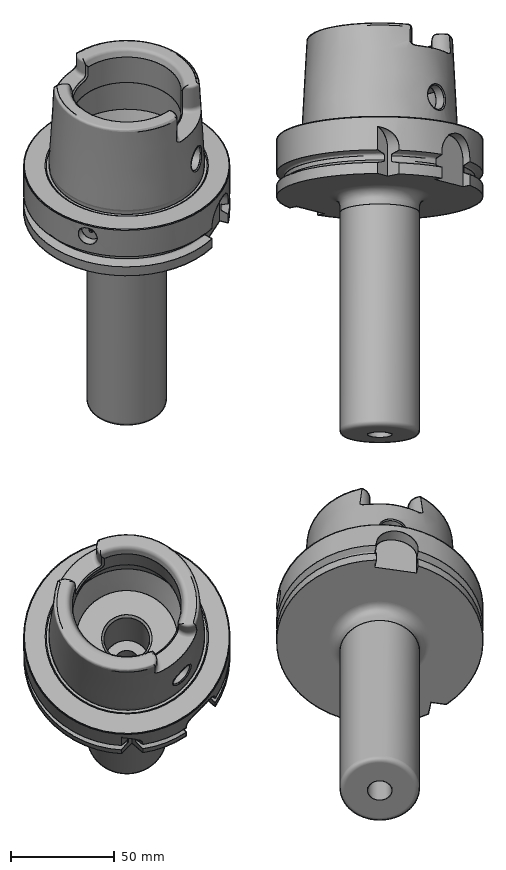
import cadquery as cq
import math

total_length = 196.9
taper_height = 50.0
shank_bottom_z = taper_height - total_length

taper_base_radius = 37.8
taper_top_radius = 35.2
relief_height = 2.4
relief_depth = 0.2
face_groove_radius = 39.5
face_groove_slope = 0.5
face_groove_depth = 0.4
flange_radius = 50.0
flange_bottom_z = -28.5
flange_edge_chamfer = 0.4
rim_fillet = 1.48

groove_radius = 46.3
groove_top_z = -16.7
groove_bottom_z = -23.0
groove_wall_rise = 1.4
groove_fillet = 1.0

shank_radius = 19.3
neck_fillet = 5.1
joint_z = -36.6
shank_end_fillet = 2.4
coolant_radius = 6.0

mouth_radius = 26.4
lead_width = 0.89
lead_radius = mouth_radius + lead_width
mouth_round = 2.8
mouth_round_angle = 75.0
lead_end_depth = 4.0
undercut_radius = 31.5
mouth_end_depth = 19.7
undercut_wall_angle = 60.0
cavity_end_depth = 40.4
bore_floor_radius = 24.6
bore_cone_angle = 30.0
tube_hole_radius = 11.0
tube_hole_chamfer = 1.2

slot_half_width = 9.5
slot_depth_left = 10.5
slot_depth_right = 15.5
finger_end_x = 32.5
finger_round = 6.7
slot_floor_fillet = 2.4
slot_inner_chamfer = 0.8

cross_hole_diameter = 12.0
cross_hole_radius = cross_hole_diameter / 2
cross_hole_depth = 34.7
cross_hole_chamfer = 0.5

keyway_radius = 10.2
keyway_center_z = -15.0
keyway_floor_x = 44.5
notch_floor_x = 32.0
notch_center_y = 41.2

chip_hole_radius = 5.0
chip_hole_z = -6.9
chip_hole_depth = 4.5
chip_pilot_radius = 1.0
chip_pilot_depth = 1.0

clearance = 9.8
tolerance = 0.04


def slope_height(radius_change, angle_from_axis):
    """Axial length of a cone that changes radius by the given amount."""
    return radius_change / math.tan(math.radians(angle_from_axis))


def make_head_blank():
    """Revolved outer shape of the head, still without its bore."""
    relief_radius = taper_base_radius - relief_depth
    profile = (
        cq.Workplane("XZ")
        .moveTo(0, taper_height)
        .lineTo(taper_top_radius, taper_height)
        .lineTo(taper_base_radius, relief_height)
        .lineTo(relief_radius, relief_height / 2)
        .lineTo(relief_radius, -face_groove_depth)
        .lineTo(face_groove_radius - face_groove_slope, -face_groove_depth)
        .lineTo(face_groove_radius, 0)
        .lineTo(flange_radius - flange_edge_chamfer, 0)
        .lineTo(flange_radius, -flange_edge_chamfer)
        .lineTo(flange_radius, groove_top_z)
        .lineTo(groove_radius, groove_top_z - groove_wall_rise)
        .lineTo(groove_radius, groove_bottom_z + groove_wall_rise)
        .lineTo(flange_radius, groove_bottom_z)
        .lineTo(flange_radius, flange_bottom_z)
        .lineTo(shank_radius + neck_fillet, flange_bottom_z)
        .radiusArc((shank_radius, flange_bottom_z - neck_fillet), -neck_fillet)
        .lineTo(shank_radius, joint_z)
        .lineTo(0, joint_z)
        .close()
    )
    blank = profile.revolve(360, (0, 0, 0), (0, 1, 0))
    groove_floor = cq.selectors.BoxSelector(
        (-flange_radius, -flange_radius, groove_bottom_z + groove_wall_rise / 2),
        (flange_radius, flange_radius, groove_top_z - groove_wall_rise / 2),
    )
    return blank.edges(groove_floor).fillet(groove_fillet)


def clamping_bore():
    """Revolved cutter for the rounded mouth, the undercut cavity and the tube hole."""
    top = taper_height
    undercut_z = top - mouth_end_depth - slope_height(undercut_radius - mouth_radius, undercut_wall_angle)
    cavity_end_z = top - cavity_end_depth
    floor_z = cavity_end_z - slope_height(undercut_radius - bore_floor_radius, bore_cone_angle)
    end_angle = math.radians(mouth_round_angle)
    round_center_r = lead_radius + mouth_round * math.sin(end_angle)

    def round_point(angle):
        """Point on the mouth rounding, turned by an angle from the flat rim."""
        return (
            round_center_r - mouth_round * math.sin(angle),
            top - mouth_round * (1 - math.cos(angle)),
        )

    profile = (
        cq.Workplane("XZ")
        .moveTo(0, joint_z)
        .lineTo(tube_hole_radius, joint_z)
        .lineTo(tube_hole_radius, floor_z - tube_hole_chamfer)
        .lineTo(tube_hole_radius + tube_hole_chamfer, floor_z)
        .lineTo(bore_floor_radius, floor_z)
        .lineTo(undercut_radius, cavity_end_z)
        .lineTo(undercut_radius, undercut_z)
        .lineTo(mouth_radius, top - mouth_end_depth)
        .lineTo(mouth_radius, top - lead_end_depth)
        .lineTo(*round_point(end_angle))
        .threePointArc(round_point(end_angle / 2), round_point(0))
        .lineTo(0, top)
        .close()
    )
    return profile.revolve(360, (0, 0, 0), (0, 1, 0))


def drive_slot(depth, side):
    """Cutter for one rim slot on the +X (side = 1) or -X (side = -1) side."""
    arc_center_x = finger_end_x - finger_round
    arc_center_y = slot_half_width + finger_round
    diagonal = finger_round * math.sqrt(0.5)
    outer_x = taper_base_radius + clearance
    floor_z = taper_height - depth
    cutter = (
        cq.Workplane("XY", origin=(0, 0, floor_z))
        .moveTo(0, -slot_half_width)
        .lineTo(arc_center_x, -slot_half_width)
        .threePointArc(
            (arc_center_x + diagonal, -arc_center_y + diagonal),
            (finger_end_x, -arc_center_y),
        )
        .lineTo(finger_end_x, -arc_center_y - clearance)
        .lineTo(outer_x, -arc_center_y - clearance)
        .lineTo(outer_x, arc_center_y + clearance)
        .lineTo(finger_end_x, arc_center_y + clearance)
        .lineTo(finger_end_x, arc_center_y)
        .threePointArc(
            (arc_center_x + diagonal, arc_center_y - diagonal),
            (arc_center_x, slot_half_width),
        )
        .lineTo(0, slot_half_width)
        .close()
        .extrude(depth + clearance)
    )
    wall_foot = cq.selectors.BoxSelector(
        (tolerance, -outer_x, floor_z - tolerance),
        (outer_x - tolerance, outer_x, floor_z + tolerance),
    )
    cutter = cutter.edges(wall_foot).fillet(slot_floor_fillet)
    return cutter if side > 0 else cutter.mirror("YZ")


def flange_slot(floor_x, center_y, side):
    """Cutter for a round-topped slot with a flat floor facing along X."""
    length = flange_radius + clearance - floor_x
    bottom_z = flange_bottom_z - clearance
    return (
        cq.Workplane("YZ", origin=(side * floor_x, 0, 0))
        .moveTo(center_y - keyway_radius, bottom_z)
        .lineTo(center_y - keyway_radius, keyway_center_z)
        .threePointArc(
            (center_y, keyway_center_z + keyway_radius),
            (center_y + keyway_radius, keyway_center_z),
        )
        .lineTo(center_y + keyway_radius, bottom_z)
        .close()
        .extrude(side * length)
    )


def chip_hole():
    """Cutter for the stepped blind hole in the front of the flange."""
    front = cq.Workplane("XZ", origin=(0, -flange_radius, chip_hole_z))
    pocket = front.circle(chip_hole_radius).extrude(-chip_hole_depth)
    pilot = front.circle(chip_pilot_radius).extrude(-chip_hole_depth - chip_pilot_depth)
    return pocket.union(pilot)


def chamfer_slot_mouths(head):
    """Break the edges where the rim slots open into the cylindrical mouth of the bore."""
    slot_bottom_z = taper_height - slot_depth_right

    def opens_into_mouth(edge):
        middle = edge.positionAt(0.5)
        on_mouth = abs(math.hypot(middle.x, middle.y) - mouth_radius) < tolerance
        in_slot = abs(middle.y) < slot_half_width + tolerance
        return on_mouth and in_slot and middle.z > slot_bottom_z - tolerance

    return head.edges().filter(opens_into_mouth).chamfer(slot_inner_chamfer)


def cut_cross_hole(head):
    """Drill the hole along X through the taper and chamfer its outer edges."""
    center_z = taper_height - cross_hole_depth
    drill = (
        cq.Workplane("YZ", origin=(0, 0, center_z))
        .circle(cross_hole_radius)
        .extrude(flange_radius, both=True)
    )
    head = head.cut(drill)
    reach = cross_hole_radius + cross_hole_chamfer
    for side in (-1, 1):
        outer_edge = cq.selectors.BoxSelector(
            (side * (undercut_radius + cross_hole_chamfer), -reach, center_z - reach),
            (side * flange_radius, reach, center_z + reach),
        )
        head = head.edges(outer_edge).chamfer(cross_hole_chamfer)
    return head


def make_head():
    """Head with its rim slots, bore, cross hole, flange slots and chip hole."""
    head = make_head_blank()
    head = head.cut(drive_slot(slot_depth_left, -1))
    head = head.cut(drive_slot(slot_depth_right, 1))
    head = head.faces(">Z").edges().fillet(rim_fillet)
    head = head.cut(clamping_bore())
    head = chamfer_slot_mouths(head)
    head = cut_cross_hole(head)
    for side in (-1, 1):
        head = head.cut(flange_slot(keyway_floor_x, 0, side))
    head = head.cut(flange_slot(notch_floor_x, notch_center_y, -1))
    return head.cut(chip_hole())


def make_shank():
    """Cylindrical shank with a coolant hole through it."""
    return (
        cq.Workplane("XY", origin=(0, 0, shank_bottom_z))
        .circle(shank_radius)
        .extrude(joint_z - shank_bottom_z)
        .faces("<Z")
        .edges()
        .fillet(shank_end_fillet)
        .faces(">Z")
        .workplane()
        .hole(2 * coolant_radius)
    )


head = make_head()
shank = make_shank()
result = cq.Compound.makeCompound([head.solids().val(), shank.solids().val()])